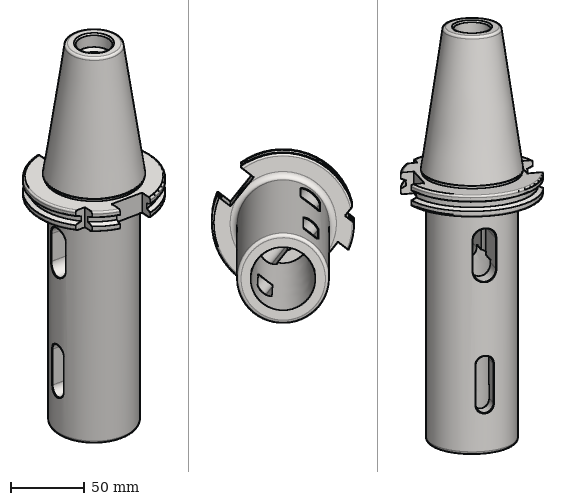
import cadquery as cq
import math

total_height = 298.8
taper_length = 103.0
gauge_diameter = 70.2
gauge_radius = gauge_diameter / 2
taper_slope = 7 / 24 / 2
tip_fillet = 2.0

neck_radius = 34.5
neck_height = 2.0
flange_radius = 48.7
flange_thickness = 15.8
flange_edge_fillet = 1.5
groove_depth = 3.5
groove_floor = 4.0
groove_mouth = 7.2

drive_slot_width = 25.7
left_slot_reach = 35.5
right_slot_reach = 37.5
notch_offset = 30.2

body_diameter = 63.0
body_radius = body_diameter / 2
body_top_fillet = 4.8
body_end_fillet = 2.7

bore_radius = 10.2
counterbore_radius = 12.5
counterbore_depth = 10.5
counterbore_chamfer = 1.2

socket_mouth_radius = 22.0
socket_depth = 135.0
socket_slope = 0.026

upper_cross_slot = (16.5, 125.0, 163.0)
lower_cross_slot = (12.5, 30.2, 71.0)
cross_slot_chamfer = 0.45

gauge_z = total_height - taper_length
flange_top = gauge_z - neck_height
flange_bottom = flange_top - flange_thickness
groove_z = (flange_top + flange_bottom) / 2
shoulder_width = counterbore_radius - bore_radius
tip_radius = gauge_radius - taper_slope * taper_length


def revolve_profile(profile):
    """Turn a closed (radius, z) outline about the Z axis."""
    return profile.close().revolve(360, (0, 0, 0), (0, 1, 0))


def make_body():
    body = cq.Workplane("XY").circle(body_radius).extrude(flange_bottom)
    return body.faces("<Z").edges().fillet(body_end_fillet)


def make_body_flare():
    """Concave fillet between the body and the underside of the flange."""
    flare_radius = body_radius + body_top_fillet
    flare_bottom = flange_bottom - body_top_fillet
    arc_mid_offset = body_top_fillet * (1 - math.cos(math.pi / 4))
    return revolve_profile(
        cq.Workplane("XZ")
        .moveTo(0, flare_bottom)
        .lineTo(body_radius, flare_bottom)
        .threePointArc(
            (body_radius + arc_mid_offset, flange_bottom - arc_mid_offset),
            (flare_radius, flange_bottom),
        )
        .lineTo(0, flange_bottom)
    )


def make_taper():
    neck = cq.Workplane("XY").workplane(offset=flange_top).circle(neck_radius).extrude(neck_height)
    cone = revolve_profile(
        cq.Workplane("XZ")
        .moveTo(0, gauge_z)
        .lineTo(gauge_radius, gauge_z)
        .lineTo(tip_radius, total_height)
        .lineTo(0, total_height)
    )
    return neck.union(cone.faces(">Z").edges().fillet(tip_fillet))


def make_flange():
    flange = (
        cq.Workplane("XY")
        .workplane(offset=flange_bottom)
        .circle(flange_radius)
        .extrude(flange_thickness)
        .edges()
        .fillet(flange_edge_fillet)
    )
    floor_radius = flange_radius - groove_depth
    groove = revolve_profile(
        cq.Workplane("XZ")
        .moveTo(flange_radius, groove_z - groove_mouth / 2)
        .lineTo(floor_radius, groove_z - groove_floor / 2)
        .lineTo(floor_radius, groove_z + groove_floor / 2)
        .lineTo(flange_radius, groove_z + groove_mouth / 2)
    )
    return flange.cut(groove)


def flange_cutter(x_min, x_max, y_min, y_max):
    """Box covering the full flange thickness between the given X and Y limits."""
    return (
        cq.Workplane("XY")
        .workplane(offset=flange_bottom)
        .moveTo((x_min + x_max) / 2, (y_min + y_max) / 2)
        .rect(x_max - x_min, y_max - y_min)
        .extrude(flange_thickness)
    )


def cut_flange_slots(flange):
    half_width = drive_slot_width / 2
    left_slot = flange_cutter(-flange_radius, -left_slot_reach, -half_width, half_width)
    right_slot = flange_cutter(right_slot_reach, flange_radius, -half_width, half_width)
    notch = flange_cutter(notch_offset, flange_radius, -flange_radius, -notch_offset)
    return flange.cut(left_slot).cut(right_slot).cut(notch)


def make_bore():
    """Through bore with a 45 degree shoulder and a chamfered counterbore at the tip."""
    shoulder_z = total_height - counterbore_depth
    return revolve_profile(
        cq.Workplane("XZ")
        .lineTo(bore_radius, 0)
        .lineTo(bore_radius, shoulder_z - shoulder_width)
        .lineTo(counterbore_radius, shoulder_z)
        .lineTo(counterbore_radius, total_height - counterbore_chamfer)
        .lineTo(counterbore_radius + counterbore_chamfer, total_height)
        .lineTo(0, total_height)
    )


def make_socket():
    """Tapered socket, widest at the bottom face."""
    return revolve_profile(
        cq.Workplane("XZ")
        .lineTo(socket_mouth_radius, 0)
        .lineTo(socket_mouth_radius - socket_slope * socket_depth, socket_depth)
        .lineTo(0, socket_depth)
    )


def cut_cross_slot(body, width, bottom, top):
    """Cut a round-ended slot through the body along Y and chamfer its outer rims."""
    slot = (
        cq.Workplane("XZ")
        .center(0, (bottom + top) / 2)
        .slot2D(top - bottom, width, 90)
        .extrude(body_radius, both=True)
    )
    body = body.cut(slot)
    for y_min, y_max in ((-body_radius, -body_radius / 2), (body_radius / 2, body_radius)):
        rim = cq.selectors.BoxSelector((-width, y_min, bottom - width), (width, y_max, top + width))
        body = body.edges(rim).chamfer(cross_slot_chamfer)
    return body


body = make_body()
for cross_slot in (upper_cross_slot, lower_cross_slot):
    body = cut_cross_slot(body, *cross_slot)

result = body.union(make_body_flare()).union(cut_flange_slots(make_flange())).union(make_taper())
result = result.cut(make_bore()).cut(make_socket())